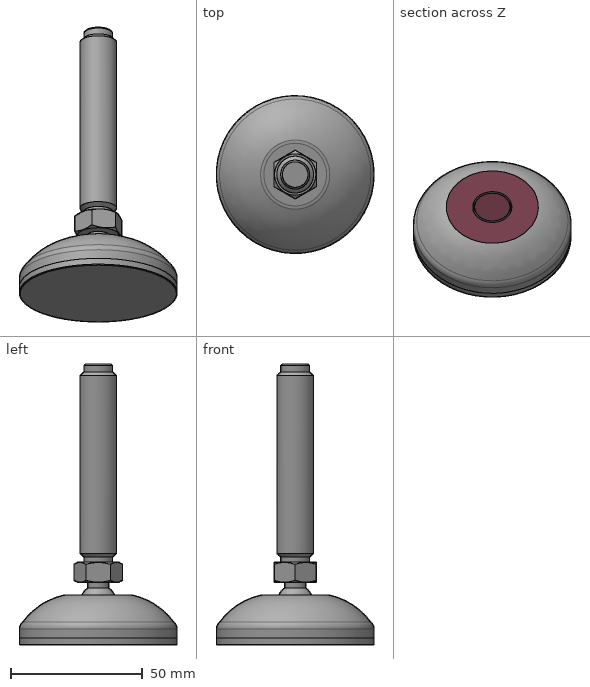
import cadquery as cq
import math

FOOT_DIAMETER = 60.0
PAD_HEIGHT = 2.7
PAD_CHAMFER = 0.3

RIM_TOP = 6.2
SHOULDER_RADIUS = 28.7
SHOULDER_HEIGHT = 8.7
RIM_ROUND_RADIUS = 3.7
DOME_RADIUS = 26.7
DOME_TOP_DIAMETER = 26.2
DOME_HEIGHT = 19.1
TOP_FACE_DIAMETER = 23.8
TOP_EDGE_DROP = 0.1

BALL_DIAMETER = 14.0
NECK_DIAMETER = 8.1
NECK_BOTTOM = 21.7
SOCKET_MOUTH_DIAMETER = 14.6

HEX_ACROSS_FLATS = 16.0
HEX_CHAMFER_DIAMETER = 15.7
HEX_BOTTOM = 23.8
HEX_TOP = 31.5
HEX_CHAMFER_ANGLE = 30.0
HEX_HALF_SECTOR = 30.0

TOTAL_HEIGHT = 106.7
STUD_DIAMETER = 14.0
RELIEF_DIAMETER = 11.0
STUD_BOTTOM = 33.4
STUD_BOTTOM_CHAMFER_HEIGHT = 1.4
STUD_TOP = 103.7
STUD_TOP_CHAMFER_HEIGHT = 1.4
TIP_CHAMFER = 0.6

foot_radius = FOOT_DIAMETER / 2
ball_radius = BALL_DIAMETER / 2
neck_radius = NECK_DIAMETER / 2
ball_center_height = NECK_BOTTOM - math.sqrt(ball_radius**2 - neck_radius**2)


def revolve_profile(profile):
    """Revolve a closed (radius, height) profile about the Z axis."""
    return profile.close().revolve(360, (0, 0, 0), (0, 1, 0))


def make_ball():
    return cq.Workplane("XY").sphere(ball_radius).translate((0, 0, ball_center_height))


def make_pad():
    pad = cq.Workplane("XY").circle(foot_radius).extrude(PAD_HEIGHT)
    return pad.faces("<Z").edges().chamfer(PAD_CHAMFER)


def make_foot():
    dome = revolve_profile(
        cq.Workplane("XZ")
        .moveTo(0, PAD_HEIGHT)
        .lineTo(foot_radius, PAD_HEIGHT)
        .lineTo(foot_radius, RIM_TOP)
        .radiusArc((SHOULDER_RADIUS, SHOULDER_HEIGHT), -RIM_ROUND_RADIUS)
        .radiusArc((DOME_TOP_DIAMETER / 2, DOME_HEIGHT - TOP_EDGE_DROP), -DOME_RADIUS)
        .lineTo(TOP_FACE_DIAMETER / 2, DOME_HEIGHT)
        .lineTo(0, DOME_HEIGHT)
    )
    mouth = (
        cq.Workplane("XY")
        .workplane(offset=ball_center_height)
        .circle(SOCKET_MOUTH_DIAMETER / 2)
        .extrude(DOME_HEIGHT - ball_center_height)
    )
    return dome.cut(mouth).cut(make_ball())


def make_hexagon():
    height = HEX_TOP - HEX_BOTTOM
    across_corners = HEX_ACROSS_FLATS / math.cos(math.radians(HEX_HALF_SECTOR))
    prism = (
        cq.Workplane("XY")
        .polygon(6, across_corners)
        .extrude(height)
        .rotate((0, 0, 0), (0, 0, 1), HEX_HALF_SECTOR)
    )
    face_radius = HEX_CHAMFER_DIAMETER / 2
    corner_radius = across_corners / 2
    corner_drop = (corner_radius - face_radius) * math.tan(math.radians(HEX_CHAMFER_ANGLE))
    blank = revolve_profile(
        cq.Workplane("XZ")
        .lineTo(face_radius, 0)
        .lineTo(corner_radius, corner_drop)
        .lineTo(corner_radius, height - corner_drop)
        .lineTo(face_radius, height)
        .lineTo(0, height)
    )
    return prism.intersect(blank).translate((0, 0, HEX_BOTTOM))


def make_neck():
    return (
        cq.Workplane("XY")
        .workplane(offset=ball_center_height)
        .circle(neck_radius)
        .extrude(HEX_BOTTOM - ball_center_height)
    )


def make_stud():
    stud_radius = STUD_DIAMETER / 2
    relief_radius = RELIEF_DIAMETER / 2
    return revolve_profile(
        cq.Workplane("XZ")
        .moveTo(0, HEX_TOP)
        .lineTo(relief_radius, HEX_TOP)
        .lineTo(relief_radius, STUD_BOTTOM)
        .lineTo(stud_radius, STUD_BOTTOM + STUD_BOTTOM_CHAMFER_HEIGHT)
        .lineTo(stud_radius, STUD_TOP - STUD_TOP_CHAMFER_HEIGHT)
        .lineTo(relief_radius, STUD_TOP)
        .lineTo(relief_radius, TOTAL_HEIGHT - TIP_CHAMFER)
        .lineTo(relief_radius - TIP_CHAMFER, TOTAL_HEIGHT)
        .lineTo(0, TOTAL_HEIGHT)
    )


def make_spindle():
    return make_ball().union(make_neck()).union(make_hexagon()).union(make_stud())


pad = make_pad()
foot = make_foot()
spindle = make_spindle()
result = cq.Compound.makeCompound([pad.val(), foot.val(), spindle.val()])